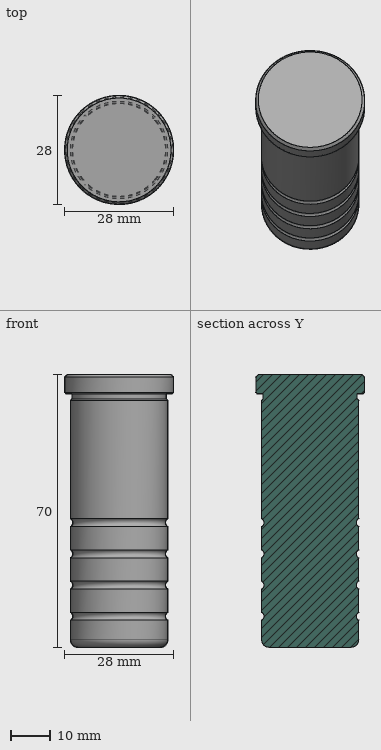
import cadquery as cq
total_height = 70.0
body_radius = 12.5
bottom_fillet = 2.0

head_radius = 14.0
head_height = 5.0
head_top_chamfer = 0.7
head_bottom_chamfer = 0.4

neck_radius = 12.1
neck_height = 1.25
body_top_chamfer = body_radius - neck_radius

groove_count = 4
groove_pitch = 8.0
lowest_groove_z = 8.0
groove_width = 2.0
groove_depth = 0.6

head_base_z = total_height - head_height
body_top_z = head_base_z - neck_height


def make_body():
    """Cylinder with a rounded bottom edge and a chamfered top edge."""
    body = cq.Workplane("XY").circle(body_radius).extrude(body_top_z)
    body = body.faces("<Z").edges().fillet(bottom_fillet)
    return body.faces(">Z").edges().chamfer(body_top_chamfer)


def make_neck():
    """Undercut cylinder that runs from inside the body to the head."""
    return (
        cq.Workplane("XY", origin=(0, 0, body_top_z - body_top_chamfer))
        .circle(neck_radius)
        .extrude(neck_height + body_top_chamfer)
    )


def make_head():
    """Flat disc with both rims chamfered."""
    head = cq.Workplane("XY", origin=(0, 0, head_base_z)).circle(head_radius).extrude(head_height)
    head = head.faces(">Z").edges().chamfer(head_top_chamfer)
    return head.faces("<Z").edges().chamfer(head_bottom_chamfer)


def make_groove(center_z):
    """Ring whose inner side is an arc, centred on the given height."""
    half_width = groove_width / 2
    return (
        cq.Workplane("XZ")
        .moveTo(head_radius, center_z - half_width)
        .lineTo(body_radius, center_z - half_width)
        .threePointArc(
            (body_radius - groove_depth, center_z),
            (body_radius, center_z + half_width),
        )
        .lineTo(head_radius, center_z + half_width)
        .close()
        .revolve(360, (0, 0, 0), (0, 1, 0))
    )


result = make_body().union(make_neck()).union(make_head())
for index in range(groove_count):
    result = result.cut(make_groove(lowest_groove_z + index * groove_pitch))